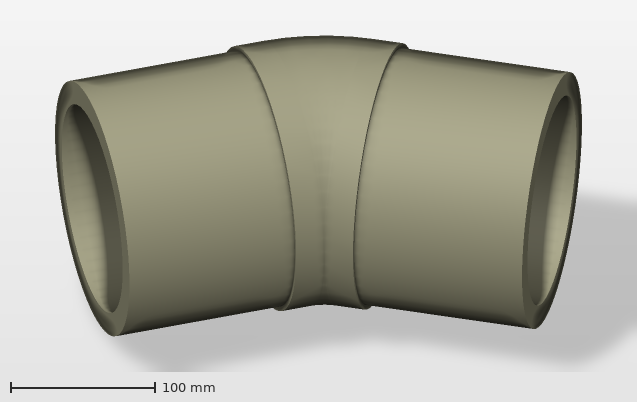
import cadquery as cq
import math

pipe_diameter = 180.0
collar_diameter = 186.7
bore_diameter = 147.0
pipe_length = 119.5
collar_length = 20.0
bend_angle = 30.0
bend_radius = 94.2
bore_bend_radius = 74.5

leg_length = pipe_length + collar_length

half_bend_tangent = math.tan(math.radians(bend_angle / 2))
corner_y = bend_radius * half_bend_tangent
bore_bend_start_y = corner_y - bore_bend_radius * half_bend_tangent
bore_leg_length = leg_length + bore_bend_start_y

bend_axis_start = (bend_radius, 0, 0)
bend_axis_end = (bend_radius, 0, 1)


def leg_cylinder(diameter, length):
    """Cylinder running from the start of the bend toward -Y."""
    return cq.Workplane("XZ").circle(diameter / 2).extrude(length)


def turn_to_outlet(leg):
    """Mirror an inlet leg across the bend plane and turn it to the outlet."""
    return leg.mirror("XZ").rotate(bend_axis_start, bend_axis_end, -bend_angle)


def elbow(diameter, radius):
    """Round bend of the given centreline radius, starting at the origin."""
    return (
        cq.Workplane("XZ")
        .circle(diameter / 2)
        .revolve(bend_angle, (radius, 3.5, 0), (radius, 0, 0))
    )


outer_leg = leg_cylinder(pipe_diameter, leg_length).union(
    leg_cylinder(collar_diameter, collar_length)
)
body = (
    elbow(collar_diameter, bend_radius)
    .union(outer_leg)
    .union(turn_to_outlet(outer_leg))
)

bore_leg = leg_cylinder(bore_diameter, bore_leg_length).translate((0, bore_bend_start_y, 0))
bore_elbow = elbow(bore_diameter, bore_bend_radius).translate((0, bore_bend_start_y, 0))
result = body.cut(bore_elbow).cut(bore_leg).cut(turn_to_outlet(bore_leg))